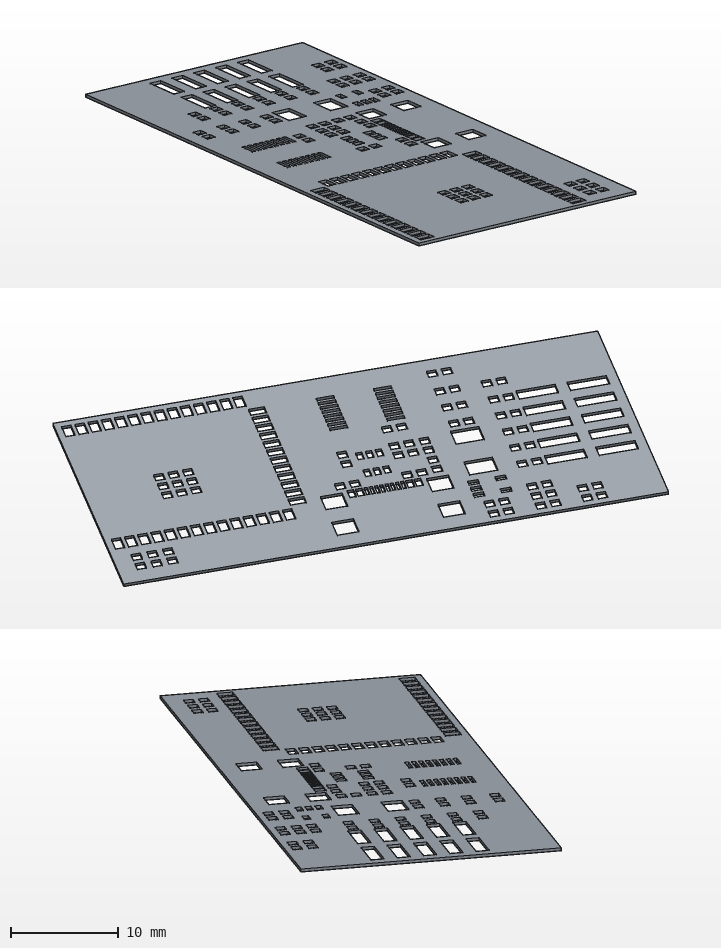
import cadquery as cq

LENGTH = 52.5
WIDTH = 25.0
THICKNESS = 0.3

PAIR_PAD = 0.9
PAIR_PITCH = 1.4

MODULE_PAD_LENGTH = 1.5
MODULE_PAD_WIDTH = 0.9
MODULE_ROW_COUNT = 14
MODULE_ROW_SPAN = 16.5
MODULE_ROW_X = 16.9
MODULE_ROW_TOP_Y = 6.45
MODULE_ROW_BOTTOM_Y = -11.0
MODULE_COLUMN_COUNT = 12
MODULE_COLUMN_SPAN = 13.95
MODULE_COLUMN_X = 7.4
MODULE_CENTER_Y = (MODULE_ROW_TOP_Y + MODULE_ROW_BOTTOM_Y) / 2
THERMAL_PAD = 0.9
THERMAL_COUNT = 3
THERMAL_SPAN = 2.8
THERMAL_X = 17.45
THERMAL_Y = -0.75

USB_X = -1.0
USB_TAB_LENGTH = 2.1
USB_TAB_WIDTH = 2.0
USB_TAB_SPACING = 10.25
USB_TAB_BACK_Y = 9.65
USB_TAB_FRONT_Y = 5.65
USB_CONTACT_Y = 5.0
USB_CONTACT_LENGTH = 1.05
USB_NARROW_CONTACT = 0.3
USB_NARROW_COUNT = 8
USB_NARROW_SPAN = 3.5
USB_WIDE_CONTACT = 0.65
USB_WIDE_SPACINGS = (4.85, 6.45)

LEAD_LENGTH = 1.7
LEAD_WIDTH = 0.35
LEAD_COUNT = 8
LEAD_SPAN = 4.6
CHIP_X = -1.95
CHIP_Y = -7.15
LEAD_COLUMN_SPACING = 5.5

SOT_PAD_LENGTH = 1.0
SOT_PAD_WIDTH = 0.6
SOT_LEAD_PITCH = 0.95
SOT_ROW_SPACING = 2.6
REGULATOR_X = -10.45
REGULATOR_Y = 7.3
PROTECTOR_X = -0.95
PROTECTOR_Y = 1.05

LARGE_PAD_LENGTH = 2.75
LARGE_PAD_WIDTH = 2.0
LARGE_PAD_X = -10.45
LARGE_PAD_Y = 1.8
LARGE_PAD_SPACING = 4.8

HEADER_PAD_LENGTH = 3.8
HEADER_PAD_WIDTH = 1.25
HEADER_COUNT = 5
HEADER_SPAN = 10.1
HEADER_X = -20.9
HEADER_Y = -0.15
HEADER_COLUMN_SPACING = 4.95

LED_PAIR_X = -14.95
LED_COUNT = 6
LED_SPAN = 12.5
LED_CENTER_Y = -1.4
UPPER_PAIR_TOP_Y = 11.35
UPPER_PAIR_MIDDLE_Y = 9.8
UPPER_PAIR_BOTTOM_Y = 8.35
LEFT_PAIR_X = -19.4
RIGHT_PAIR_X = -10.45
RIGHT_LOWEST_Y = -10.4
USB_PAIR_LEFT_X = -4.2
USB_PAIR_RIGHT_X = 2.25
USB_PAIR_Y = 3.6
DECOUPLING_PAIR_Y = -3.45

UPRIGHT_LEFT_X = -6.4
UPRIGHT_RIGHT_X = 1.5
UPRIGHT_UPPER_Y = 2.8
UPRIGHT_LOWER_Y = -0.15
CORNER_UPRIGHT_X = 22.45
CORNER_UPRIGHT_PITCH = 1.5
CORNER_UPRIGHT_Y = 9.55


def spread(center, span, count):
    """Return evenly spaced positions whose first and last are `span` apart."""
    step = span / (count - 1)
    return [center - span / 2 + step * i for i in range(count)]


def grid(xs, ys):
    """Return every point that combines one of `xs` with one of `ys`."""
    return [(x, y) for x in xs for y in ys]


def cut_pads(sheet, centers, size_x, size_y):
    """Cut a through opening of the given size at each centre."""
    openings = (
        cq.Workplane("XY")
        .pushPoints(centers)
        .rect(size_x, size_y)
        .extrude(THICKNESS)
    )
    return sheet.cut(openings)


def cut_module(sheet):
    row_xs = spread(MODULE_ROW_X, MODULE_ROW_SPAN, MODULE_ROW_COUNT)
    rows = grid(row_xs, (MODULE_ROW_TOP_Y, MODULE_ROW_BOTTOM_Y))
    sheet = cut_pads(sheet, rows, MODULE_PAD_WIDTH, MODULE_PAD_LENGTH)
    column_ys = spread(MODULE_CENTER_Y, MODULE_COLUMN_SPAN, MODULE_COLUMN_COUNT)
    column = grid((MODULE_COLUMN_X,), column_ys)
    sheet = cut_pads(sheet, column, MODULE_PAD_LENGTH, MODULE_PAD_WIDTH)
    thermal = grid(
        spread(THERMAL_X, THERMAL_SPAN, THERMAL_COUNT),
        spread(THERMAL_Y, THERMAL_SPAN, THERMAL_COUNT),
    )
    return cut_pads(sheet, thermal, THERMAL_PAD, THERMAL_PAD)


def cut_usb_connector(sheet):
    tabs = grid(spread(USB_X, USB_TAB_SPACING, 2), (USB_TAB_BACK_Y, USB_TAB_FRONT_Y))
    sheet = cut_pads(sheet, tabs, USB_TAB_LENGTH, USB_TAB_WIDTH)
    narrow = grid(spread(USB_X, USB_NARROW_SPAN, USB_NARROW_COUNT), (USB_CONTACT_Y,))
    sheet = cut_pads(sheet, narrow, USB_NARROW_CONTACT, USB_CONTACT_LENGTH)
    for spacing in USB_WIDE_SPACINGS:
        wide = grid(spread(USB_X, spacing, 2), (USB_CONTACT_Y,))
        sheet = cut_pads(sheet, wide, USB_WIDE_CONTACT, USB_CONTACT_LENGTH)
    return sheet


def cut_sixteen_lead_chip(sheet):
    leads = grid(
        spread(CHIP_X, LEAD_COLUMN_SPACING, 2),
        spread(CHIP_Y, LEAD_SPAN, LEAD_COUNT),
    )
    return cut_pads(sheet, leads, LEAD_LENGTH, LEAD_WIDTH)


def cut_small_outline_parts(sheet):
    left_x, right_x = spread(REGULATOR_X, SOT_ROW_SPACING, 2)
    lead_ys = spread(REGULATOR_Y, 2 * SOT_LEAD_PITCH, 3)
    regulator = grid((right_x,), lead_ys) + grid((left_x,), (lead_ys[0], lead_ys[-1]))
    sheet = cut_pads(sheet, regulator, SOT_PAD_LENGTH, SOT_PAD_WIDTH)
    protector = grid(
        spread(PROTECTOR_X, 2 * SOT_LEAD_PITCH, 3),
        spread(PROTECTOR_Y, SOT_ROW_SPACING, 2),
    )
    return cut_pads(sheet, protector, SOT_PAD_WIDTH, SOT_PAD_LENGTH)


def cut_large_pads(sheet):
    pads = grid((LARGE_PAD_X,), spread(LARGE_PAD_Y, LARGE_PAD_SPACING, 2))
    return cut_pads(sheet, pads, LARGE_PAD_LENGTH, LARGE_PAD_WIDTH)


def cut_pin_header(sheet):
    pads = grid(
        spread(HEADER_X, HEADER_COLUMN_SPACING, 2),
        spread(HEADER_Y, HEADER_SPAN, HEADER_COUNT),
    )
    return cut_pads(sheet, pads, HEADER_PAD_LENGTH, HEADER_PAD_WIDTH)


def cut_two_pad_parts(sheet):
    led_ys = spread(LED_CENTER_Y, LED_SPAN, LED_COUNT)
    upper_ys = [UPPER_PAIR_TOP_Y, UPPER_PAIR_MIDDLE_Y]
    side_by_side = (
        grid((LEFT_PAIR_X,), upper_ys)
        + grid((LED_PAIR_X,), upper_ys + [UPPER_PAIR_BOTTOM_Y] + led_ys)
        + grid((RIGHT_PAIR_X,), upper_ys + led_ys[:3] + [RIGHT_LOWEST_Y])
        + grid((USB_PAIR_LEFT_X,), (USB_PAIR_Y, DECOUPLING_PAIR_Y))
        + grid((USB_PAIR_RIGHT_X,), (USB_PAIR_Y,))
    )
    upright = (
        grid((UPRIGHT_LEFT_X,), (UPRIGHT_UPPER_Y, UPRIGHT_LOWER_Y))
        + grid(spread(USB_PAIR_LEFT_X, PAIR_PITCH, 2), (UPRIGHT_LOWER_Y,))
        + grid((UPRIGHT_RIGHT_X,), (UPRIGHT_LOWER_Y,))
        + grid(spread(CORNER_UPRIGHT_X, 2 * CORNER_UPRIGHT_PITCH, 3), (CORNER_UPRIGHT_Y,))
    )
    pads = []
    for x, y in side_by_side:
        pads += grid(spread(x, PAIR_PITCH, 2), (y,))
    for x, y in upright:
        pads += grid((x,), spread(y, PAIR_PITCH, 2))
    return cut_pads(sheet, pads, PAIR_PAD, PAIR_PAD)


result = cq.Workplane("XY").box(LENGTH, WIDTH, THICKNESS, centered=(True, True, False))
result = cut_module(result)
result = cut_usb_connector(result)
result = cut_sixteen_lead_chip(result)
result = cut_small_outline_parts(result)
result = cut_large_pads(result)
result = cut_pin_header(result)
result = cut_two_pad_parts(result)